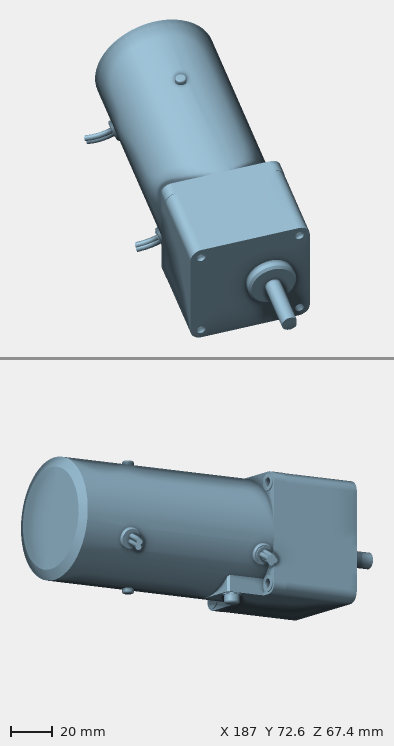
import cadquery as cq

motor_rear_x = 0
flange_rear_x = 108.0
flange_front_x = 115.0
gearbox_front_x = 155.0
boss_front_x = 160.0
shaft_end_x = 187

square_side = 60.0
half_side = square_side / 2
flange_corner_radius = 5.0
gearbox_corner_radius = 5.6

case_radius = half_side
rear_face_diameter = 50.0
rear_taper_length = 2.0

hole_pitch = 49.5
hole_diameter = 4.5
pad_diameter = 8.5
pad_height = 0.5

case_screw_x = 44.0
case_screw_diameter = 5.6
case_screw_top = case_radius + 2.5
case_screw_rounding = 1.0

block_rear_x = 87.9
block_side_y = -20.5
block_top_z = -21.7
block_corner_chamfer = 1.0
earth_screw_x = 93.1
earth_screw_y = -15.5
earth_screw_diameter = 7.5
earth_screw_length = 4.9
earth_screw_rounding = 1.3
earth_washer_diameter = 9.0
earth_washer_thickness = 0.5

cable_angle = 22.5
grommet_diameter = 10.8
grommet_height = 1.3
grommet_chamfer = 0.5
wire_diameter = 2.8
wire_offset = 1.3
anchor_depth = 3.7

brake_cable_x = 27.5
brake_bend_radius = 28
brake_bend_angle = 28.5

motor_cable_x = 102.7
motor_collar_diameter = 8.2
motor_collar_height = 0.5
motor_bend_radius = 33.7
motor_bend_angle = 20.5

shaft_y = 10.0
shaft_diameter = 8.0
shaft_flat_start_x = 173.0
shaft_flat_depth = 0.65
boss_diameter = 24.1
boss_chamfer = 1.1


def plane_across_x(x, y=0):
    """Sketch plane facing +X, with its first axis along +Y and its second along +Z."""
    return cq.Plane(origin=(x, y, 0), xDir=(0, 1, 0), normal=(1, 0, 0))


def square_block(start_x, end_x, corner_radius):
    """Square block around the motor axis with rounded long edges."""
    block = cq.Workplane(plane_across_x(start_x)).rect(square_side, square_side).extrude(end_x - start_x)
    return block.edges("|X").fillet(corner_radius)


def mounting_cylinders(start_x, end_x, diameter):
    """One cylinder at each mounting hole."""
    corners = cq.Workplane(plane_across_x(start_x)).rect(hole_pitch, hole_pitch, forConstruction=True)
    return corners.vertices().circle(diameter / 2).extrude(end_x - start_x)


def motor_case():
    """Round case with a conical rear edge."""
    profile = [
        (motor_rear_x, 0),
        (motor_rear_x, rear_face_diameter / 2),
        (motor_rear_x + rear_taper_length, case_radius),
        (flange_rear_x, case_radius),
        (flange_rear_x, 0),
    ]
    return cq.Workplane("XY").polyline(profile).close().revolve(360, (0, 0, 0), (1, 0, 0))


def case_screws():
    """Screw heads at the top and the bottom of the case, on one cross axis."""
    heads = cq.Workplane("XY", origin=(case_screw_x, 0, -case_screw_top))
    heads = heads.circle(case_screw_diameter / 2).extrude(2 * case_screw_top)
    return heads.edges("<Z or >Z").fillet(case_screw_rounding)


def terminal_block():
    """Block under the front end of the case, running from one side to the motor axis."""
    length = flange_rear_x - block_rear_x
    block = cq.Workplane("XY").box(length, -block_side_y, half_side + block_top_z, centered=False)
    block = block.translate((block_rear_x, block_side_y, -half_side))
    return block.edges("|Z and <X and <Y").chamfer(block_corner_chamfer)


def earth_screw():
    """Screw head and washer on the underside of the terminal block."""
    underside = cq.Workplane("XY", origin=(earth_screw_x, earth_screw_y, -half_side))
    head = underside.circle(earth_screw_diameter / 2).extrude(-earth_screw_length)
    head = head.edges("<Z").fillet(earth_screw_rounding)
    washer = underside.circle(earth_washer_diameter / 2).extrude(-earth_washer_thickness)
    return head.union(washer)


def turn_to_cable(body, x):
    """Turn a body built along +Z to the cable angle and move it along the motor."""
    return body.rotate((0, 0, 0), (1, 0, 0), 90 + cable_angle).translate((x, 0, 0))


def cable(x, bend_radius, bend_angle, wire_places):
    """Grommet and wires, built along +Z at the motor axis and then turned to the cable angle."""
    grommet_top = case_radius + grommet_height
    grommet = cq.Workplane("XY", origin=(0, 0, case_radius - anchor_depth))
    grommet = grommet.circle(grommet_diameter / 2).extrude(anchor_depth + grommet_height)
    body = grommet.faces(">Z").chamfer(grommet_chamfer)

    for across_x, across_y in wire_places:
        section = cq.Workplane("XY", origin=(0, 0, grommet_top)).center(across_x, across_y)
        section = section.circle(wire_diameter / 2)
        bend_axis_x = -bend_radius - across_x
        wire = section.revolve(bend_angle, (bend_axis_x, 1.9, 0), (bend_axis_x, 0, 0))
        body = body.union(wire)

    return turn_to_cable(body, x)


def motor_cable_collar():
    """Narrower step on the grommet of the motor cable, around its wires."""
    collar = cq.Workplane("XY", origin=(0, 0, case_radius))
    collar = collar.circle(motor_collar_diameter / 2).extrude(grommet_height + motor_collar_height)
    return turn_to_cable(collar, motor_cable_x)


def motor():
    """Motor case with its flange, screws, terminal block and cables."""
    stacked_pair = [(0, wire_offset), (0, -wire_offset)]
    side_pair = [(wire_offset, 0), (-wire_offset, 0)]

    body = motor_case().union(square_block(flange_rear_x, flange_front_x, flange_corner_radius))
    body = body.union(mounting_cylinders(flange_rear_x - pad_height, flange_rear_x, pad_diameter))
    body = body.union(case_screws())
    body = body.union(terminal_block()).union(earth_screw())
    body = body.union(cable(brake_cable_x, brake_bend_radius, brake_bend_angle, stacked_pair))
    body = body.union(cable(motor_cable_x, motor_bend_radius, motor_bend_angle, stacked_pair + side_pair))
    body = body.union(motor_cable_collar())
    return body.cut(mounting_cylinders(flange_rear_x - pad_height, flange_front_x, hole_diameter))


def output_shaft():
    """Round shaft with a flat on its +Y side near the end."""
    shaft = cq.Workplane(plane_across_x(gearbox_front_x, shaft_y)).circle(shaft_diameter / 2)
    shaft = shaft.extrude(shaft_end_x - gearbox_front_x)
    flat_y = shaft_y + shaft_diameter / 2 - shaft_flat_depth
    flat_length = shaft_end_x - shaft_flat_start_x
    removed = cq.Workplane("XY").box(
        flat_length, shaft_flat_depth, shaft_diameter, centered=(False, False, True)
    )
    return shaft.cut(removed.translate((shaft_flat_start_x, flat_y, 0)))


def gearbox():
    """Gearbox housing with its output boss and shaft."""
    housing = square_block(flange_front_x, gearbox_front_x, gearbox_corner_radius)
    boss = cq.Workplane(plane_across_x(gearbox_front_x, shaft_y)).circle(boss_diameter / 2)
    boss = boss.extrude(boss_front_x - gearbox_front_x).faces(">X").chamfer(boss_chamfer)
    body = housing.union(boss).union(output_shaft())
    return body.cut(mounting_cylinders(flange_front_x, gearbox_front_x, hole_diameter))


result = cq.Compound.makeCompound([motor().val(), gearbox().val()])